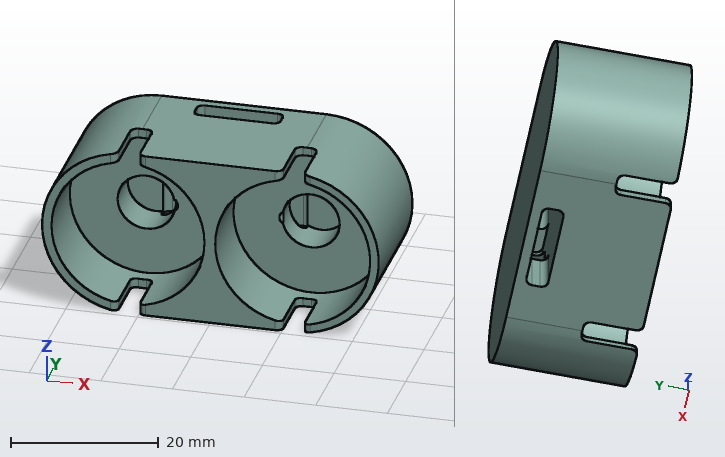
import cadquery as cq
import math

length = 47.0
height = 24.0
depth = 18.5
end_radius = height / 2
bore_offset = length / 2 - end_radius
front = -depth / 2
back = depth / 2

left_bore_radius = 10.65
right_bore_radius = 10.8
bore_depth = 10.0
bore_floor = front + bore_depth
port_radius = 4.0

notch_width = 3.0
notch_depth = 8.0
corner_radius = 0.95

slot_length = 12.0
slot_width = 3.0
slot_inset = 1.5
slot_center = back - slot_inset - slot_width / 2
port_floor = slot_center

channel_left = -10.58
channel_right = 9.65
channel_height = 2 * port_radius + 0.95

wire_radius = 1.0
wire_reach = 0.4
wire_angle = math.radians(30)
wire_length = 3.75


def cylinder_along_y(x, radius, y_start, y_end):
    origin = cq.Vector(x, y_start, 0)
    return cq.Workplane(cq.Solid.makeCylinder(radius, y_end - y_start, origin, cq.Vector(0, 1, 0)))


def rounded_slot(x_size, y_size, z_size, x, y):
    block = cq.Workplane().box(x_size, y_size, z_size)
    return block.edges("|Z").fillet(corner_radius).translate((x, y, 0))


def wire_hole(side):
    """Hole starting in the bore floor and slanting back toward the port axis."""
    slant = cq.Vector(side * math.sin(wire_angle), math.cos(wire_angle), 0)
    x = side * (bore_offset - port_radius - wire_reach + wire_radius / math.cos(wire_angle))
    start = cq.Vector(x, bore_floor, 0) - slant * wire_radius
    return cq.Workplane(cq.Solid.makeCylinder(wire_radius, wire_length, start, slant))


body = cq.Workplane("XZ", origin=(0, back, 0)).slot2D(length, height).extrude(depth)

for side in (-1, 1):
    notch = rounded_slot(notch_width, 2 * notch_depth, height, side * bore_offset, front)
    body = body.cut(notch)
mouth_tolerance = 0.05
for side in (-1, 1):
    for edge in (-1, 1):
        x = side * bore_offset + edge * notch_width / 2
        mouth = cq.selectors.BoxSelector(
            (x - mouth_tolerance, front - mouth_tolerance, -height),
            (x + mouth_tolerance, front + mouth_tolerance, height),
        )
        body = body.edges("|Z").edges(mouth).fillet(corner_radius)

body = body.cut(rounded_slot(slot_length, slot_width, height, 0, slot_center))
channel_length = channel_right - channel_left
channel_center = (channel_left + channel_right) / 2
body = body.cut(rounded_slot(channel_length, slot_width, channel_height, channel_center, slot_center))

for side, bore_radius in ((-1, left_bore_radius), (1, right_bore_radius)):
    x = side * bore_offset
    body = body.cut(cylinder_along_y(x, bore_radius, front, bore_floor))
    body = body.cut(cylinder_along_y(x, port_radius, bore_floor, port_floor))
    body = body.cut(wire_hole(side))

result = body